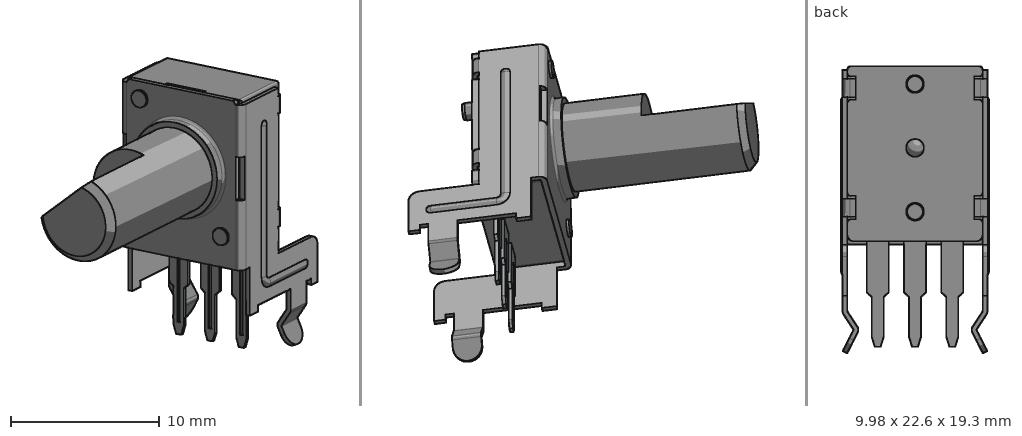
import cadquery as cq
import math


frame_width = 9.76
side_thickness = 0.35
front_thickness = 0.4
bend_radius = 0.5
inner_bend_radius = bend_radius - front_thickness
front_top = 5.5
front_bottom = -6.5
wall_top = 5.25
wall_rear = 4.57
front_corner_chamfer = 0.2
half_width = frame_width / 2
inner_half_width = half_width - side_thickness

foot_front = 1.02
foot_rear = 9.4
foot_bottom = -9.95
foot_underside = -9.5
front_toe_length = 1.02
rear_toe_length = 0.77
foot_corner_radius = 0.8

leg_width = 2.0
leg_y = 7.05
leg_bend_z = -11.05
leg_knee_z = -12.23
leg_inset = 0.77
leg_tip_z = -13.75
leg_bend_radius = 0.2

bead_width = 0.63
bead_height = 0.11
bead_y = 2.75
bead_top = 3.12
bead_z = -8.23
bead_rear = 7.86
bead_elbow_radius = 0.6

window_length = 3.07
tab_height = 1.22
tab_z = 4.02
tab_reach = 0.9

collar_diameter = 6.8
collar_length = 0.77
collar_root_radius = 0.192
boss_diameter = 1.2
boss_height = 0.18
boss_x = 3.25
boss_z = 4.3

housing_depth = 4.7
housing_rear = front_thickness + housing_depth
housing_bottom = -6.28
housing_top_edge_radius = 0.2
housing_front_chamfer = 0.14
housing_lower_edge_radius = 0.4
tab_pocket_height = 1.58
tab_pocket_rim_radius = 0.2
top_notch_depth = 0.3
post_diameter = 1.2
post_length = 1.45
post_end_chamfer_length = 0.2
post_end_chamfer_inset = 0.07

shaft_diameter = 6.01
shaft_end = -13.2
shaft_chamfer = 0.5
flat_length = 7.0
flat_distance = 1.51
flat_angle = 130.0

terminal_pitch = 2.5
terminal_front = 3.6
terminal_thickness = 0.25
terminal_width = 1.5
terminal_shoulder = -9.72
terminal_neck = -10.03
terminal_neck_width = 0.81
terminal_taper = -12.72
terminal_tip = -13.38
terminal_tip_width = 0.4
groove_width = 0.23
groove_top = -7.5
groove_bottom = -12.5
groove_depth = terminal_thickness / 2


def block(x_range, y_range, z_range):
    """Box between two limits along each axis."""
    (x0, x1), (y0, y1), (z0, z1) = x_range, y_range, z_range
    return cq.Workplane("XY").box(x1 - x0, y1 - y0, z1 - z0, centered=False).translate((x0, y0, z0))


def rod(diameter, y_start, y_end, x=0.0, z=0.0):
    """Cylinder along Y."""
    profile = cq.Workplane("XZ", origin=(0, y_start, 0)).center(x, z).circle(diameter / 2)
    return profile.extrude(y_start - y_end)


def both_sides(body):
    """The body together with its mirror image in the plane X = 0."""
    return body.union(body.mirror("YZ"))


def bent_sheet():
    """U-shaped front plate and side walls, cut to the outline of the walls."""
    outer = block((-half_width, half_width), (0, foot_rear), (foot_bottom, wall_top))
    outer = outer.edges("|Z and <Y").fillet(bend_radius)
    inner = block((-inner_half_width, inner_half_width), (front_thickness, foot_rear), (foot_bottom, wall_top))
    inner = inner.edges("|Z and <Y").fillet(inner_bend_radius)
    wall = (
        cq.Workplane("YZ")
        .moveTo(0, wall_top)
        .lineTo(0, front_bottom)
        .lineTo(foot_front, front_bottom)
        .lineTo(foot_front, foot_bottom)
        .lineTo(foot_front + front_toe_length, foot_bottom)
        .lineTo(foot_front + front_toe_length, foot_underside)
        .lineTo(foot_rear - rear_toe_length, foot_underside)
        .lineTo(foot_rear - rear_toe_length, foot_bottom)
        .lineTo(foot_rear, foot_bottom)
        .lineTo(foot_rear, front_bottom - foot_corner_radius)
        .radiusArc((foot_rear - foot_corner_radius, front_bottom), -foot_corner_radius)
        .lineTo(wall_rear, front_bottom)
        .lineTo(wall_rear, wall_top)
        .close()
        .extrude(half_width, both=True)
    )
    return outer.cut(inner).intersect(wall)


def front_top_edge():
    """Upper edge of the front plate, which rises above the bends."""
    base = half_width - bend_radius
    return (
        cq.Workplane("XZ")
        .moveTo(-base, wall_top)
        .lineTo(base, wall_top)
        .lineTo(base - front_corner_chamfer, front_top)
        .lineTo(front_corner_chamfer - base, front_top)
        .close()
        .extrude(-front_thickness)
    )


def leg():
    """Snap-in leg below the wall on the +X side."""
    wall_center = half_width - side_thickness / 2
    knee = (wall_center - leg_inset, leg_knee_z)
    flare = math.atan2(leg_inset, leg_knee_z - leg_tip_z)
    slope = (math.sin(flare), -math.cos(flare))
    tip_radius = leg_width / 2
    straight_end = (
        wall_center - tip_radius * slope[0],
        leg_tip_z - tip_radius * slope[1],
    )
    corners = [(wall_center, foot_underside), (wall_center, leg_bend_z), knee, straight_end]
    path = cq.Wire.makePolygon([cq.Vector(x, leg_y, z) for x, z in corners])
    rounded_path = path.fillet(leg_bend_radius, path.Vertices()[1:3])
    section = cq.Workplane("XY", origin=(wall_center, leg_y, foot_underside)).rect(side_thickness, leg_width)
    strip = section.sweep(cq.Workplane(rounded_path))
    tip_plane = cq.Plane(
        origin=(straight_end[0], leg_y, straight_end[1]),
        xDir=(0, 1, 0),
        normal=(math.cos(flare), 0, math.sin(flare)),
    )
    tip = (
        cq.Workplane(tip_plane)
        .moveTo(-tip_radius, 0)
        .threePointArc((0, -tip_radius), (tip_radius, 0))
        .close()
        .extrude(side_thickness / 2, both=True)
    )
    return strip.union(tip)


def bead():
    """Stiffening bead on the +X wall: a shallow round ridge with a bend and domed ends."""
    ridge_radius = (bead_width**2 / 4 + bead_height**2) / (2 * bead_height)
    rear_start = bead_y + bead_elbow_radius
    elbow_top = bead_z + bead_elbow_radius
    elbow_step = bead_elbow_radius * (1 - math.sqrt(0.5))
    half_bead = bead_width / 2
    root = -side_thickness / 2
    path = (
        cq.Workplane("YZ", origin=(half_width, 0, 0))
        .moveTo(bead_y, bead_top)
        .lineTo(bead_y, elbow_top)
        .threePointArc((bead_y + elbow_step, bead_z + elbow_step), (rear_start, bead_z))
        .lineTo(bead_rear, bead_z)
    )
    ridge = (
        cq.Workplane("XY", origin=(half_width, bead_y, bead_top))
        .moveTo(root, -half_bead)
        .lineTo(0, -half_bead)
        .threePointArc((bead_height, 0), (0, half_bead))
        .lineTo(root, half_bead)
        .close()
        .sweep(path)
    )
    dome = (
        cq.Workplane("XY")
        .moveTo(root, 0)
        .lineTo(bead_height, 0)
        .radiusArc((0, half_bead), -ridge_radius)
        .lineTo(root, half_bead)
        .close()
        .revolve(180, (0, 0, 0), (1, 0, 0))
    )
    upper_end = dome.translate((half_width, bead_y, bead_top))
    rear_end = dome.rotate((0, 0, 0), (1, 0, 0), -90).translate((half_width, bead_rear, bead_z))
    return ridge.union(upper_end).union(rear_end)


def tab(z):
    """Tab on the +X wall, folded over the back of the housing."""
    tab_z_range = (z - tab_height / 2, z + tab_height / 2)
    outer = block((half_width - tab_reach, half_width), (wall_rear, housing_rear), tab_z_range)
    outer = outer.edges("|Z and >X and >Y").fillet(bend_radius)
    inside = block((0, inner_half_width), (0, housing_rear - side_thickness), tab_z_range)
    inside = inside.edges("|Z and >X and >Y").fillet(bend_radius - side_thickness)
    return outer.cut(inside)


def collar():
    """Round collar on the front plate with a hollow fillet at its root."""
    radius = collar_diameter / 2
    return (
        cq.Workplane("XY")
        .lineTo(radius + collar_root_radius, 0)
        .radiusArc((radius, -collar_root_radius), -collar_root_radius)
        .lineTo(radius, -collar_length)
        .lineTo(0, -collar_length)
        .close()
        .revolve(360, (0, 0, 0), (0, 1, 0))
    )


def make_frame():
    """Sheet-metal frame as one solid."""
    frame = bent_sheet().union(front_top_edge()).union(both_sides(leg())).union(both_sides(bead()))
    for z in (tab_z, -tab_z):
        frame = frame.union(both_sides(tab(z)))
    window = block(
        (half_width - bend_radius, half_width),
        (0, front_thickness),
        (-window_length / 2, window_length / 2),
    )
    frame = frame.cut(both_sides(window)).union(collar())
    for sign in (-1, 1):
        frame = frame.union(rod(boss_diameter, -boss_height, 0, x=sign * boss_x, z=-sign * boss_z))
    return frame.cut(rod(shaft_diameter, -collar_length, front_thickness))


def post(z):
    """Locating post on the back of the housing, tapered at its end."""
    body = rod(post_diameter, housing_rear, housing_rear + post_length, z=z)
    return body.faces(">Y").chamfer(post_end_chamfer_length, post_end_chamfer_inset)


def pocket_rim(x, z):
    """Selector of the edges where a tab pocket opens into the housing side at x."""
    margin = 0.02
    reach = tab_pocket_height / 2 + margin
    return cq.selectors.BoxSelector(
        (x - margin, housing_rear - side_thickness - margin, z - reach),
        (x + margin, housing_rear - margin, z + reach),
    )


def make_housing():
    """Block inside the frame with tab pockets, two locating posts and a dome on its back."""
    housing = block(
        (-inner_half_width, inner_half_width),
        (front_thickness, housing_rear),
        (housing_bottom, front_top),
    )
    housing = housing.edges("|Z and <Y").chamfer(housing_front_chamfer)
    housing = housing.edges("|Y and >Z").fillet(housing_top_edge_radius)
    housing = housing.edges("|Y and <Z").fillet(housing_lower_edge_radius)
    top_notch = block(
        (-window_length / 2, window_length / 2),
        (front_thickness, front_thickness + top_notch_depth),
        (front_top - top_notch_depth, front_top),
    )
    housing = housing.cut(top_notch)
    for z in (tab_z, -tab_z):
        pocket = block(
            (half_width - tab_reach, inner_half_width),
            (housing_rear - side_thickness, housing_rear),
            (z - tab_pocket_height / 2, z + tab_pocket_height / 2),
        )
        housing = housing.cut(both_sides(pocket))
        for x in (-inner_half_width, inner_half_width):
            rim = pocket_rim(x, z)
            housing = housing.edges(rim).fillet(tab_pocket_rim_radius)
    for z in (boss_z, -boss_z):
        housing = housing.union(post(z))
    dome = cq.Workplane("XY").sphere(post_diameter / 2).translate((0, housing_rear, 0))
    return housing.union(dome)


def make_shaft():
    """Round shaft with a chamfered end and a flat, seated on the front of the housing."""
    shaft = rod(shaft_diameter, shaft_end, front_thickness).faces("<Y").chamfer(shaft_chamfer)
    radius = shaft_diameter / 2
    above_flat = block((flat_distance, radius), (shaft_end, shaft_end + flat_length), (-radius, radius))
    return shaft.cut(above_flat.rotate((0, 0, 0), (0, 1, 0), -flat_angle))


def make_terminal(x):
    """Flat terminal with a narrow tail and a long groove in its front face."""
    right_side = [
        (terminal_width / 2, housing_bottom),
        (terminal_width / 2, terminal_shoulder),
        (terminal_neck_width / 2, terminal_neck),
        (terminal_neck_width / 2, terminal_taper),
        (terminal_tip_width / 2, terminal_tip),
    ]
    left_side = [(-across, z) for across, z in reversed(right_side)]
    outline = cq.Workplane("XZ", origin=(x, terminal_front, 0)).polyline(right_side + left_side).close()
    groove = block(
        (x - groove_width / 2, x + groove_width / 2),
        (terminal_front, terminal_front + groove_depth),
        (groove_bottom, groove_top),
    )
    return outline.extrude(-terminal_thickness).cut(groove)


frame = make_frame()
housing = make_housing()
shaft = make_shaft()
terminals = [make_terminal(position * terminal_pitch) for position in (-1, 0, 1)]

result = cq.Compound.makeCompound(
    [frame.val(), housing.val(), shaft.val(), *[terminal.val() for terminal in terminals]]
)